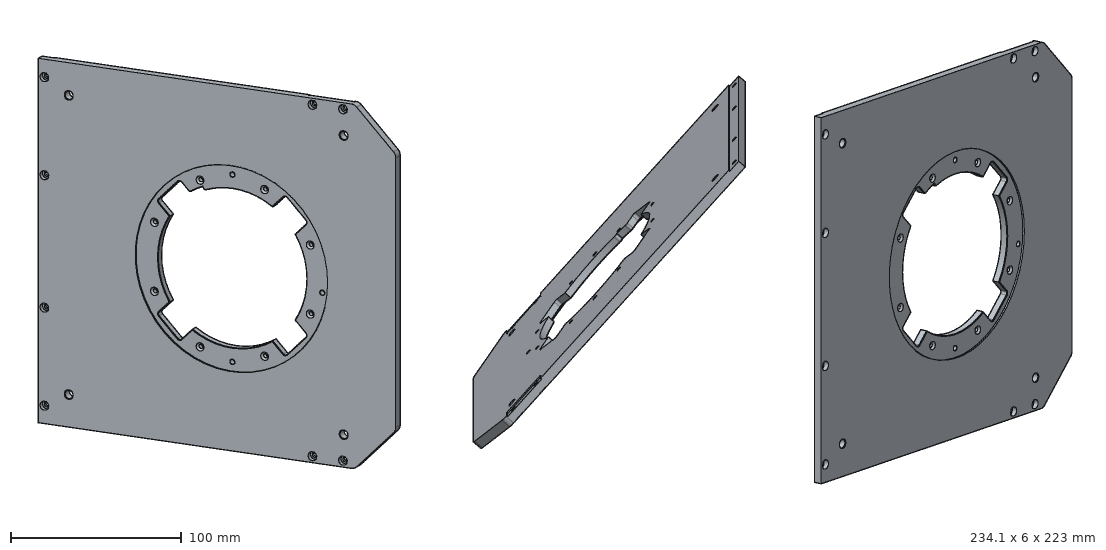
import cadquery as cq
import math

length = 234.1
height = 223.0
thickness = 6.0
ring_to_left_edge = 126.5
left_x = -ring_to_left_edge
right_x = left_x + length
half_height = height / 2
corner_cut = 27.0
corner_radius = 5.0

rebate_depth = 0.8
rebate_width = 8.0
top_rebate_length = 30.0

seat_diameter = 126.0
seat_depth = 1.2
opening_radius = 48.6
slot_angles = (45, 135, 225, 315)
slot_reach = 59.2
slot_width = 20.7
slot_corner_radius = 1.7
rim_chamfer = 0.4
notch_radius = 51.0
notch_start_angle = 112.5
notch_end_angle = 135.0
notch_tip_radius = 1.5

ring_screw_count = 8
ring_screw_circle_radius = 55.2
ring_screw_diameter = 2.53
ring_screw_sink_diameter = 5.04
pin_diameter = 3.0
pin_rim_diameter = 3.33
pin_offset_z = 57.3
side_pin_x = 58.9
side_pin_z = -7.0

edge_inset = 4.0
edge_screw_diameter = 3.2
edge_screw_head_diameter = 5.5
edge_screw_head_depth = 3.2
left_screw_heights = (40.5, 100.5)
top_screw_spacing = 20.0
top_screw_center_x = 63.0
mount_diameter = 5.04
mount_rim_diameter = 5.84
mount_left_x = -106.5
mount_right_x = 73.5
mount_z = 91.5


def box(x_min, x_max, y_min, y_max, z_min, z_max):
    """Axis-aligned block given by its limits."""
    size = (x_max - x_min, y_max - y_min, z_max - z_min)
    return cq.Workplane("XY").box(*size, centered=False).translate((x_min, y_min, z_min))


def cylinder(diameter, depth, x=0.0, z=0.0):
    """Cylinder running from the front face into the plate."""
    return cq.Workplane("XZ").center(x, z).circle(diameter / 2).extrude(-depth)


def drill(body, points, diameter):
    """Plain through holes."""
    for x, z in points:
        body = body.cut(cylinder(diameter, thickness, x, z))
    return body


def countersink(body, points, face_y, diameter, sink_diameter):
    """90 degree countersinks, opening at y = face_y and narrowing to the hole diameter."""
    sink_depth = (sink_diameter - diameter) / 2
    for x, z in points:
        cone = cq.Solid.makeCone(
            sink_diameter / 2, diameter / 2, sink_depth, cq.Vector(x, face_y, z), cq.Vector(0, 1, 0)
        )
        body = body.cut(cq.Workplane(cone))
    return body


def make_plate():
    """Rectangular plate with two rounded corner cuts on the right."""
    outline = [
        (left_x, -half_height),
        (right_x - corner_cut, -half_height),
        (right_x, -half_height + corner_cut),
        (right_x, half_height - corner_cut),
        (right_x - corner_cut, half_height),
        (left_x, half_height),
    ]
    plate = cq.Workplane("XZ").polyline(outline).close().extrude(-thickness)
    return plate.edges("|Y").edges("not <X").fillet(corner_radius)


def cut_rebates(body):
    """Shallow steps in the back face along the left, top and bottom edges."""
    floor_y = thickness - rebate_depth
    body = body.cut(box(left_x, left_x + rebate_width, floor_y, thickness, -half_height, half_height))
    x_min = top_screw_center_x - top_rebate_length / 2
    x_max = top_screw_center_x + top_rebate_length / 2
    inner_z = half_height - rebate_width
    body = body.cut(box(x_min, x_max, floor_y, thickness, inner_z, half_height))
    return body.cut(box(x_min, x_max, floor_y, thickness, -half_height, -inner_z))


def polar(radius, angle):
    """Point (x, z) at an angle in degrees about the ring axis."""
    return radius * math.cos(math.radians(angle)), radius * math.sin(math.radians(angle))


def cut_opening(body):
    """Ring seat, and a chamfered opening with four diagonal slots and one sector notch."""
    opening = cylinder(2 * opening_radius, thickness)
    slot = box(0, slot_reach, 0, thickness, -slot_width / 2, slot_width / 2)
    slot = slot.edges("|Y and >X").fillet(slot_corner_radius)
    for angle in slot_angles:
        opening = opening.union(slot.rotate((0, 0, 0), (0, 1, 0), -angle))
    middle_angle = (notch_start_angle + notch_end_angle) / 2
    notch = (
        cq.Workplane("XZ")
        .lineTo(*polar(notch_radius, notch_start_angle))
        .threePointArc(polar(notch_radius, middle_angle), polar(notch_radius, notch_end_angle))
        .close()
        .extrude(-thickness)
    )
    opening = opening.union(notch)
    slot_wall_angle = notch_end_angle - math.degrees(math.asin(slot_width / 2 / notch_radius))
    tips = [polar(notch_radius, slot_wall_angle), polar(opening_radius, notch_start_angle)]
    for x, z in tips:
        tip_edge = cq.selectors.NearestToPointSelector((x, thickness / 2, z))
        opening = opening.edges("|Y").edges(tip_edge).fillet(notch_tip_radius)
    body = body.cut(opening).cut(cylinder(seat_diameter, seat_depth))
    half_opening = seat_diameter / 2 - rim_chamfer
    opening_rim = cq.selectors.BoxSelector(
        (-half_opening, seat_depth / 2, -half_opening),
        (half_opening, 1.5 * seat_depth, half_opening),
        boundingbox=True,
    )
    return body.edges(opening_rim).chamfer(rim_chamfer)


def cut_ring_holes(body):
    """Countersunk screw holes and plain pin holes in the ring seat."""
    pitch = 360 / ring_screw_count
    screws = [polar(ring_screw_circle_radius, pitch * (i + 0.5)) for i in range(ring_screw_count)]
    body = drill(body, screws, ring_screw_diameter)
    body = countersink(body, screws, seat_depth, ring_screw_diameter, ring_screw_sink_diameter)
    pins = [(0, pin_offset_z), (0, -pin_offset_z), (side_pin_x, side_pin_z)]
    body = drill(body, pins, pin_diameter)
    return countersink(body, pins, seat_depth, pin_diameter, pin_rim_diameter)


def cut_plate_holes(body):
    """Counterbored screw holes along the edges and four mounting holes."""
    screws = []
    mounts = []
    for side in (-1, 1):
        screws += [(left_x + edge_inset, side * z) for z in left_screw_heights]
        for end in (-1, 1):
            x = top_screw_center_x + end * top_screw_spacing / 2
            screws.append((x, side * (half_height - edge_inset)))
        mounts += [(mount_left_x, side * mount_z), (mount_right_x, side * mount_z)]
    body = drill(body, screws, edge_screw_diameter)
    for x, z in screws:
        body = body.cut(cylinder(edge_screw_head_diameter, edge_screw_head_depth, x, z))
    body = drill(body, mounts, mount_diameter)
    return countersink(body, mounts, 0, mount_diameter, mount_rim_diameter)


result = cut_plate_holes(cut_ring_holes(cut_opening(cut_rebates(make_plate()))))